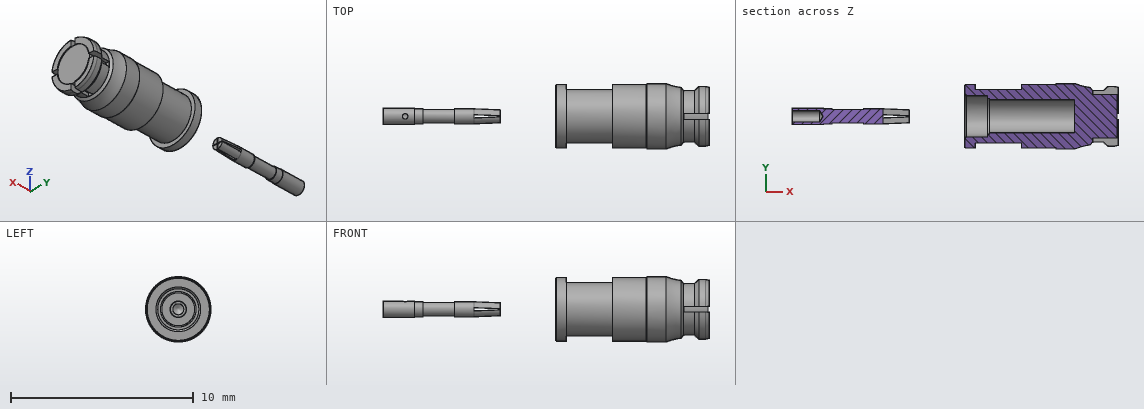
import cadquery as cq
import math


overall_length = 17.85

pin_length = 6.42
crimp_end = 1.7
shoulder_end = 2.18
waist_end = 3.9
pin_slot_start = 4.98
crimp_dia = 0.9
pin_body_dia = 0.85
pin_waist_dia = 0.75
pin_tip_dia = 0.72
wire_bore_dia = 0.6
wire_bore_depth = 1.5
drill_point_angle = 118
vent_dia = 0.3
vent_x = 1.2
pin_slot_width = 0.16
pin_slot_tip_width = 0.05

housing_length = 8.41
housing_x = overall_length - housing_length
flange_end = 0.58
sleeve_end = 3.1
barrel_end = 5.0
collar_end = 6.05
flare_end = 6.87
neck_start = 7.0
petal_slot_start = 7.02
neck_end = 7.6
lip_start = 7.84
lip_taper_start = 8.19
flange_dia = 3.5
sleeve_dia = 2.95
collar_dia = 3.59
flare_mid_dia = 3.32
flare_end_dia = 3.17
neck_dia = 2.85
lip_dia = 3.3
lip_end_dia = 3.2
flange_chamfer = 0.05
barrel_chamfer = 0.05

rear_bore_dia = 2.25
rear_bore_depth = 1.25
bore_chamfer = 0.1
recess_dia = 1.95
recess_depth = 0.1
inner_bore_dia = 1.8
inner_bore_end = 6.0

petal_count = 4
petal_slot_width = 0.32
core_dia = 2.4
core_setback = 0.06


def revolve_about_x(outline):
    """Full turn of a closed XY outline about the X axis."""
    return outline.close().revolve(360, (0, 0, 0), (1, 0, 0))


def make_pin():
    pin = revolve_about_x(
        cq.Workplane("XY")
        .moveTo(0, 0)
        .lineTo(0, crimp_dia / 2)
        .lineTo(crimp_end, crimp_dia / 2)
        .lineTo(crimp_end, pin_body_dia / 2)
        .lineTo(shoulder_end, pin_body_dia / 2)
        .lineTo(shoulder_end, pin_waist_dia / 2)
        .lineTo(waist_end, pin_waist_dia / 2)
        .lineTo(waist_end, pin_body_dia / 2)
        .lineTo(pin_slot_start, pin_body_dia / 2)
        .lineTo(pin_length, pin_tip_dia / 2)
        .lineTo(pin_length, 0)
    )

    bore_radius = wire_bore_dia / 2
    point_length = bore_radius / math.tan(math.radians(drill_point_angle / 2))
    wire_bore = revolve_about_x(
        cq.Workplane("XY")
        .moveTo(0, 0)
        .lineTo(0, bore_radius)
        .lineTo(wire_bore_depth, bore_radius)
        .lineTo(wire_bore_depth + point_length, 0)
    )
    pin = pin.cut(wire_bore)

    vent = cq.Workplane("XY").center(vent_x, 0).circle(vent_dia / 2).extrude(crimp_dia)
    pin = pin.cut(vent)

    for angle in (0, 90):
        slot = (
            cq.Workplane("XY")
            .moveTo(pin_slot_start, -pin_slot_width / 2)
            .lineTo(pin_length, -pin_slot_tip_width / 2)
            .lineTo(pin_length, pin_slot_tip_width / 2)
            .lineTo(pin_slot_start, pin_slot_width / 2)
            .close()
            .extrude(pin_body_dia, both=True)
            .rotate((0, 0, 0), (1, 0, 0), angle)
        )
        pin = pin.cut(slot)
    return pin


def make_housing():
    flange_radius = flange_dia / 2
    collar_radius = collar_dia / 2
    shell = revolve_about_x(
        cq.Workplane("XY")
        .moveTo(0, 0)
        .lineTo(0, flange_radius - flange_chamfer)
        .lineTo(flange_chamfer, flange_radius)
        .lineTo(flange_end, flange_radius)
        .lineTo(flange_end, sleeve_dia / 2)
        .lineTo(sleeve_end, sleeve_dia / 2)
        .lineTo(sleeve_end, flange_radius)
        .lineTo(barrel_end - barrel_chamfer, flange_radius)
        .lineTo(barrel_end, flange_radius - barrel_chamfer)
        .lineTo(barrel_end, collar_radius)
        .lineTo(collar_end, collar_radius)
        .threePointArc(((collar_end + flare_end) / 2, flare_mid_dia / 2), (flare_end, flare_end_dia / 2))
        .lineTo(neck_start, neck_dia / 2)
        .lineTo(neck_end, neck_dia / 2)
        .lineTo(lip_start, lip_dia / 2)
        .lineTo(lip_taper_start, lip_dia / 2)
        .lineTo(housing_length, lip_end_dia / 2)
        .lineTo(housing_length, 0)
    )

    recess_end = rear_bore_depth + recess_depth
    bore = revolve_about_x(
        cq.Workplane("XY")
        .moveTo(0, 0)
        .lineTo(0, rear_bore_dia / 2 + bore_chamfer)
        .lineTo(bore_chamfer, rear_bore_dia / 2)
        .lineTo(rear_bore_depth, rear_bore_dia / 2)
        .lineTo(rear_bore_depth, recess_dia / 2)
        .lineTo(recess_end, recess_dia / 2)
        .lineTo(recess_end, inner_bore_dia / 2)
        .lineTo(inner_bore_end, inner_bore_dia / 2)
        .lineTo(inner_bore_end, 0)
    )
    shell = shell.cut(bore)

    front_recess = (
        cq.Workplane("YZ", origin=(housing_length - core_setback, 0, 0))
        .circle(core_dia / 2)
        .extrude(core_setback)
    )
    shell = shell.cut(front_recess)

    slot_length = housing_length - petal_slot_start
    slot = cq.Workplane("XY").box(slot_length, petal_slot_width, lip_dia / 2, centered=(False, True, False))
    core = cq.Workplane("YZ").circle(core_dia / 2).extrude(slot_length)
    slot = slot.cut(core).translate((petal_slot_start, 0, 0))
    for index in range(petal_count):
        shell = shell.cut(slot.rotate((0, 0, 0), (1, 0, 0), index * 360 / petal_count))

    return shell.translate((housing_x, 0, 0))


pin = make_pin()
housing = make_housing()
result = cq.Compound.makeCompound([pin.val(), housing.val()])